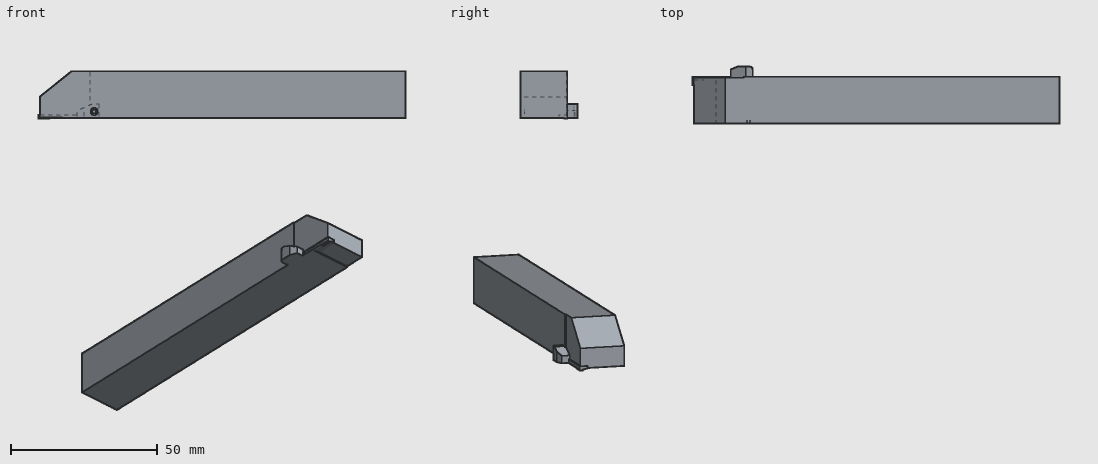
import cadquery as cq

total_length = 125.0
shank_size = 16.0
nose_x = 0.5
slope_end_x = 11.2
nose_height = 7.4

relief_depth = 0.4
side_relief_end = 17.5
side_relief_bottom = 1.2
bottom_relief_end = 8.0

lug_start = 13.0
lug_end = 20.6
lug_reach = 3.5
lug_height = 4.9
lug_front_height = 2.6
lug_slope_end = 18.1
lug_bevel_length = 2.5
lug_bevel_depth = 1.0
lug_corner_radius = 1.2

edge_drop = 0.2
edge_length = 3.6
edge_width = 1.1
insert_length = bottom_relief_end
insert_width = 2.9
insert_height = 1.2
insert_top_front = 1.1
insert_underside = 0.4

screw_x = 19.0
screw_z = 2.2
screw_diameter = 2.5
screw_recess = 0.1
socket_diameter = 1.5
socket_depth = 1.2


def make_shank():
    """Square bar with a sloped nose, running from Y = -shank_size to Y = 0."""
    outline = [
        (nose_x, 0),
        (total_length, 0),
        (total_length, shank_size),
        (slope_end_x, shank_size),
        (nose_x, nose_height),
    ]
    return cq.Workplane("XZ").polyline(outline).close().extrude(shank_size)


def make_reliefs():
    """Material removed from the +Y side and the underside of the nose."""
    side = cq.Workplane("XY").box(
        side_relief_end, relief_depth, shank_size - side_relief_bottom, centered=False
    ).translate((0, -relief_depth, side_relief_bottom))
    bottom = cq.Workplane("XY").box(
        bottom_relief_end, shank_size, relief_depth, centered=False
    ).translate((0, -shank_size, 0))
    return side.union(bottom)


def make_lug():
    """Lug with a sloped top, a bevelled front corner and a rounded rear corner."""
    plan = [
        (lug_start, -relief_depth),
        (lug_end, -relief_depth),
        (lug_end, lug_reach),
        (lug_start + lug_bevel_length, lug_reach),
        (lug_start, lug_reach - lug_bevel_depth),
    ]
    lug = cq.Workplane("XY").polyline(plan).close().extrude(lug_height)
    lug = lug.edges("|Z and >X and >Y").fillet(lug_corner_radius)
    wedge = [
        (lug_start, lug_front_height),
        (lug_slope_end, lug_height),
        (lug_start, lug_height),
    ]
    cutter = cq.Workplane("XZ").polyline(wedge).close().extrude(lug_reach + relief_depth)
    return lug.cut(cutter.translate((0, lug_reach, 0)))


def make_insert():
    """Insert with a bevelled lower side and a narrow cutting edge under its tip."""
    section = [
        (0, 0),
        (0, insert_height),
        (-insert_width, insert_top_front),
        (-insert_width, insert_underside),
        (-edge_width, 0),
    ]
    body = cq.Workplane("YZ").polyline(section).close().extrude(insert_length)
    edge = cq.Workplane("XY").box(
        edge_length, edge_width, edge_drop + insert_height / 2, centered=False
    ).translate((0, -edge_width, -edge_drop))
    return body.union(edge)


def make_screw_recess():
    """Round screw seat with a hexagonal socket in its floor."""
    face = cq.Workplane("XZ", origin=(screw_x, -shank_size, screw_z))
    seat = face.circle(screw_diameter / 2).extrude(-screw_recess)
    socket = face.polygon(6, socket_diameter).extrude(-socket_depth)
    return seat.union(socket)


result = (
    make_shank()
    .cut(make_reliefs())
    .cut(make_screw_recess())
    .union(make_lug())
    .union(make_insert())
)